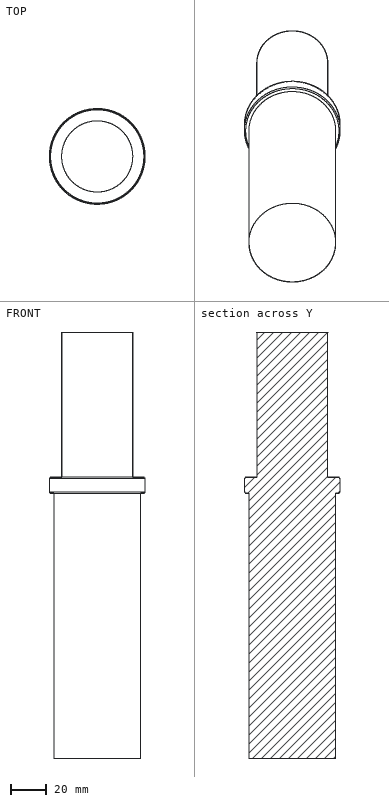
import cadquery as cq

total_length = 240.0
body_diameter = 49.0
body_length = 149.3
collar_diameter = 54.0
collar_thickness = 9.0
collar_chamfer = 0.7
pin_diameter = 40.0

pin_length = total_length - body_length - collar_thickness

body = cq.Workplane("XY").circle(body_diameter / 2).extrude(body_length)

collar = (
    cq.Workplane("XY", origin=(0, 0, body_length))
    .circle(collar_diameter / 2)
    .extrude(collar_thickness)
    .edges("%CIRCLE")
    .chamfer(collar_chamfer)
)

pin = (
    cq.Workplane("XY", origin=(0, 0, body_length + collar_thickness))
    .circle(pin_diameter / 2)
    .extrude(pin_length)
)

result = body.union(collar).union(pin)